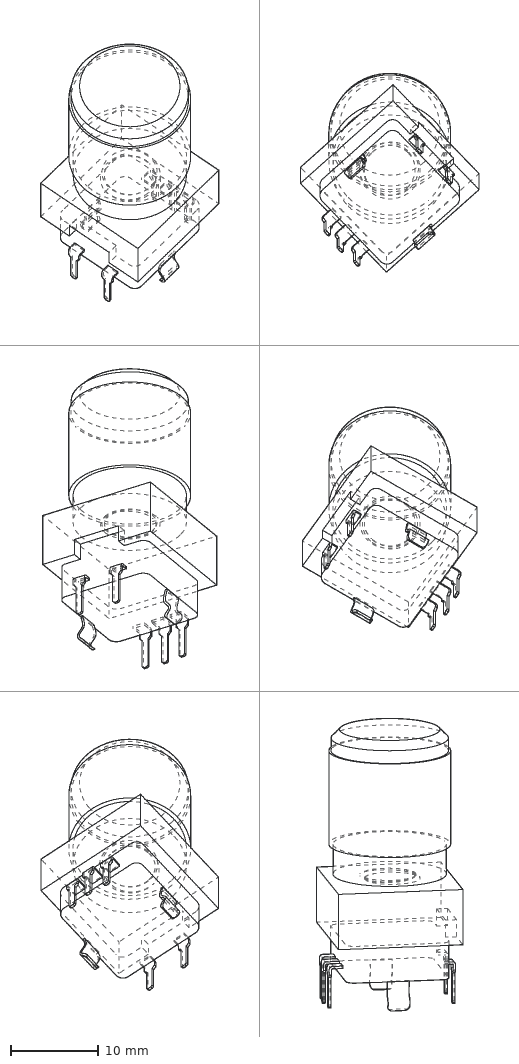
import cadquery as cq
import math

total_height = 31.9
cap_height = 2.5
grip_bottom = 18.4
knob_bottom = 14.9
block_top = 14.4
block_bottom = 7.88
notch_top = 9.9
case_bottom = 3.55

cap_dia = 13.5
grip_dia = 14.0
skirt_dia = 13.0
cap_chamfer = 1.0

block_size = 14.5
case_x = 11.8
case_y = 12.0
case_corner_radius = 1.0
notch_width = 5.93

thread_dia = 7.0
thread_pitch = 0.75
thread_flank_angle = 30.0
thread_crest_height = 14.6
thread_turns = 4
thread_root_clearance = 0.03
thread_root_overlap = 0.03

overall_y = 15.12
strip_thickness = 0.3
terminal_pitch = 2.5
terminal_top = 5.0
terminal_bend_radius = 0.38
terminal_head_width = 1.5
terminal_shank_width = 0.8
head_taper_top = 4.02
head_taper_bottom = 3.65
terminal_tip_chamfer = 0.2
front_terminal_reach = 7.1
back_terminal_reach = 7.62
back_center_reach = overall_y - block_size / 2

clip_thickness = 0.25
clip_width = 2.55
clip_root = (5.75, 3.67)
clip_waist = (5.45, 2.25)
clip_elbow = (6.15, 1.02)
clip_tip = (5.45, 0.1)
clip_corner_radius = 0.65


def make_knob():
    skirt = cq.Workplane("XY").workplane(offset=knob_bottom).circle(skirt_dia / 2)
    skirt = skirt.extrude(grip_bottom - knob_bottom)
    grip = skirt.faces(">Z").workplane().circle(grip_dia / 2)
    grip = grip.extrude(total_height - cap_height - grip_bottom)
    cap = grip.faces(">Z").workplane().circle(cap_dia / 2).extrude(cap_height)
    return cap.faces(">Z").chamfer(cap_chamfer)


def make_case():
    case = cq.Workplane("XY").workplane(offset=case_bottom).rect(case_x, case_y)
    case = case.extrude(notch_top - case_bottom)
    return case.edges("|Z").fillet(case_corner_radius)


def make_block():
    block = cq.Workplane("XY").workplane(offset=block_bottom).rect(block_size, block_size)
    block = block.extrude(block_top - block_bottom)
    notch_depth = (block_size - case_y) / 2
    notch_height = notch_top - block_bottom
    notch = cq.Workplane("XY").box(notch_width, notch_depth, notch_height, centered=(True, False, False))
    return block.cut(notch.translate((0, -block_size / 2, block_bottom)))


def make_neck():
    """Threaded neck that fills the gap between the block and the knob."""
    crest_radius = thread_dia / 2
    half_base = thread_pitch / 2 - thread_root_clearance
    ridge_depth = half_base / math.tan(math.radians(thread_flank_angle))
    root_radius = crest_radius - ridge_depth
    core_radius = root_radius + thread_root_overlap

    start = thread_crest_height - thread_turns / 2 * thread_pitch
    helix_height = thread_turns * thread_pitch
    helix = cq.Wire.makeHelix(thread_pitch, helix_height, root_radius, center=cq.Vector(0, 0, start))
    ridge = (
        cq.Workplane("XZ")
        .moveTo(root_radius, start - half_base)
        .lineTo(crest_radius, start)
        .lineTo(root_radius, start + half_base)
        .close()
        .sweep(cq.Workplane(obj=helix), isFrenet=True)
    )
    gap = knob_bottom - block_top
    slab = cq.Workplane("XY").workplane(offset=block_top).circle(thread_dia).extrude(gap)
    core = cq.Workplane("XY").workplane(offset=block_top).circle(core_radius).extrude(gap)
    return core.union(ridge.intersect(slab))


def make_corner(length, height, radius):
    """Block from the origin out along +Y and up, with its upper outer edge rounded."""
    corner = cq.Workplane("XY").box(terminal_head_width, length, height, centered=(True, False, False))
    return corner.edges("|X and >Y and >Z").fillet(radius)


def make_terminal(x, reach, side):
    """Terminal whose outer face is at distance reach; side is -1 for -Y and 1 for +Y."""
    length = reach - case_y / 2
    outer_corner = make_corner(length, terminal_top, terminal_bend_radius)
    inner_corner = make_corner(
        length - strip_thickness, terminal_top - strip_thickness, terminal_bend_radius - strip_thickness
    )
    strip = outer_corner.cut(inner_corner)

    half_head = terminal_head_width / 2
    half_shank = terminal_shank_width / 2
    outline = (
        cq.Workplane("XZ")
        .moveTo(0, 0)
        .lineTo(half_shank - terminal_tip_chamfer, 0)
        .lineTo(half_shank, terminal_tip_chamfer)
        .lineTo(half_shank, head_taper_bottom)
        .lineTo(half_head, head_taper_top)
        .lineTo(half_head, terminal_top)
        .lineTo(0, terminal_top)
        .mirrorY()
        .extrude(-length)
    )
    terminal = strip.intersect(outline)
    if side < 0:
        terminal = terminal.mirror("XZ")
    return terminal.translate((x, side * case_y / 2, 0))


def make_clip():
    """Snap-in clip on the +X side, with its two lower corners rounded."""
    root, waist, elbow, tip = [cq.Vector(x, 0, z) for x, z in (clip_root, clip_waist, clip_elbow, clip_tip)]
    down = cq.Vector(0, 0, -1)
    root_direction = (waist - root).normalized()
    tip_direction = (tip - elbow).normalized()
    wave = cq.Edge.makeSpline([root, waist, elbow, tip], [root_direction, down, down, tip_direction])
    path = cq.Workplane(obj=wave)
    start = cq.Plane(origin=root, xDir=(0, 1, 0), normal=root_direction)
    clip = cq.Workplane(start).rect(clip_width, clip_thickness).sweep(path)
    outline = cq.Workplane("XY").box(2 * case_x, clip_width, case_y, centered=(True, True, False))
    return clip.intersect(outline.edges("|X and <Z").fillet(clip_corner_radius))


def make_base():
    base = make_block().union(make_case()).union(make_neck())
    for x in (-terminal_pitch, terminal_pitch):
        base = base.union(make_terminal(x, front_terminal_reach, -1))
        base = base.union(make_terminal(x, back_terminal_reach, 1))
    base = base.union(make_terminal(0, back_center_reach, 1))
    clip = make_clip()
    return base.union(clip).union(clip.mirror("YZ"))


knob = make_knob()
base = make_base()
result = cq.Compound.makeCompound([knob.val(), base.val()])